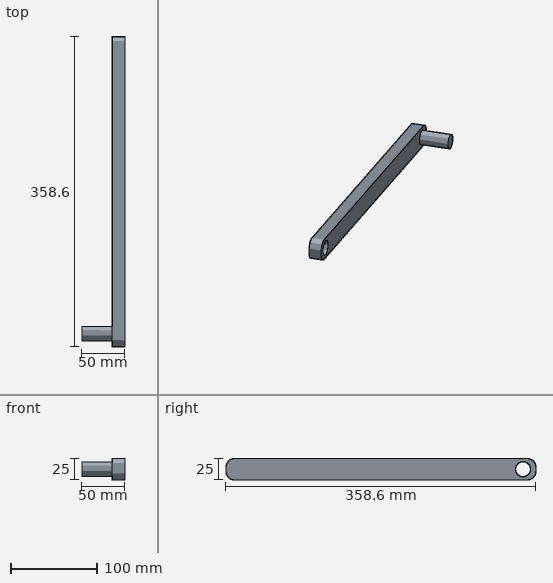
import cadquery as cq

arm_length = 358.62
arm_height = 25.0
arm_thickness = 15.0
corner_radius = 10.0

pin_diameter = 17.0
hole_diameter = pin_diameter
overall_width = 50.0
pin_length = overall_width - arm_thickness
end_distance = 15.0

pin_y = -arm_length / 2 + end_distance
hole_y = arm_length / 2 - end_distance


def make_arm():
    """Bar with rounded corners, from X = 0 to X = arm_thickness."""
    bar = cq.Workplane("YZ").rect(arm_length, arm_height).extrude(arm_thickness)
    return bar.edges("|X").fillet(corner_radius)


def make_cylinder(y, diameter, length):
    """Cylinder along +X, starting at X = 0 on the bar's centre line."""
    return cq.Workplane("YZ").center(y, 0).circle(diameter / 2).extrude(length)


pin = make_cylinder(pin_y, pin_diameter, -pin_length)
hole = make_cylinder(hole_y, hole_diameter, arm_thickness)

result = make_arm().union(pin).cut(hole)